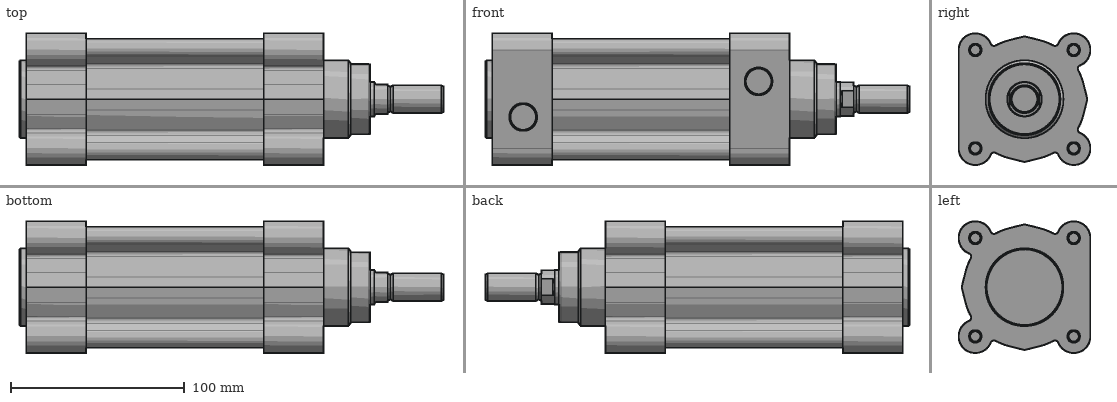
import cadquery as cq
import math


total_length = 244.0
rear_boss_length = 4.0
cap_length = 34.5
barrel_length = 102.2
front_boss_length = 15.5
seal_neck_length = 11.2

rear_cap_start = rear_boss_length
barrel_start = rear_cap_start + cap_length
front_cap_start = barrel_start + barrel_length
front_boss_start = front_cap_start + cap_length
seal_neck_start = front_boss_start + front_boss_length
rod_start = seal_neck_start + seal_neck_length

cap_width = 76.0
half_width = cap_width / 2
screw_offset = 28.3
lobe_radius = half_width - screw_offset
cap_hull_radius = 35.1
cap_ridge_half_width = 8.5
cap_groove_radius = 2.0

column_radius = 5.9
column_offset = 29.0
barrel_hull_radius = 33.7
barrel_ridge_half_width = 6.0
barrel_groove_radius = 2.5

boss_radius = 22.5
rear_boss_chamfer = 0.7
front_boss_chamfer_length = 1.5
front_boss_chamfer_depth = 1.7
seal_neck_radius = 20.3
seal_neck_taper_length = 1.0
seal_neck_taper_depth = 0.2

screw_hole_radius = 3.0
screw_hole_depth = 15.9
screw_hole_chamfer = 0.7

port_radius = 7.3
port_depth = 12.2
port_chamfer = 0.7
port_height = 10.2
port_inset = 17.8

collar_radius = 10.0
collar_length = 2.2
wrench_radius = 9.8
wrench_length = 7.8
wrench_flat_width = 17.0
wrench_bevel_length = 1.2
rod_radius = 8.0
relief_radius = 7.0
relief_length = 3.2
rod_tip_chamfer_length = 1.5
rod_tip_chamfer_depth = 0.7


def rotate_point(point, quarter_turns):
    """Turn a (y, z) point about the cylinder axis, counter-clockwise."""
    y, z = point
    for _ in range(quarter_turns % 4):
        y, z = -z, y
    return y, z


def offset_toward(start, target, distance):
    """Point at a distance from start, in the direction of target."""
    length = math.dist(start, target)
    return tuple(s + (t - s) * distance / length for s, t in zip(start, target))


def from_diagonal(along, across):
    """Point given along the +Y+Z diagonal and across it, toward +Z."""
    return (along - across) / math.sqrt(2), (along + across) / math.sqrt(2)


def ridged_side(groove_center, groove_radius, foot, hull_radius, ridge_half_width):
    """Points of the +Z side from its groove foot on the +Y side up to the ridge.

    A concave groove arc runs into the round hull, and flats tangent to the hull form the ridge.
    """
    hull_start = offset_toward(groove_center, (0, 0), groove_radius)
    chord_middle = tuple((a + b) / 2 for a, b in zip(foot, hull_start))
    groove_middle = offset_toward(groove_center, chord_middle, groove_radius)
    ridge_angle = math.asin(ridge_half_width / hull_radius)
    start_angle = math.atan2(hull_start[0], hull_start[1])
    middle_angle = (ridge_angle + start_angle) / 2
    hull_middle = (hull_radius * math.sin(middle_angle), hull_radius * math.cos(middle_angle))
    hull_end = (ridge_half_width, hull_radius * math.cos(ridge_angle))
    ridge = (0, hull_radius / math.cos(ridge_angle))
    return [foot, groove_middle, hull_start, hull_middle, hull_end, ridge]


def draw_side(outline, side, quarter_turns):
    """Draw a whole side counter-clockwise, from one foot over the ridge to the other foot."""
    mirrored = [(-y, z) for y, z in side]
    turned = [rotate_point(point, quarter_turns) for point in side]
    back = [rotate_point(point, quarter_turns) for point in mirrored]
    _, groove_middle, hull_start, hull_middle, hull_end, ridge = turned
    outline = outline.threePointArc(groove_middle, hull_start).threePointArc(hull_middle, hull_end)
    outline = outline.lineTo(*ridge)
    foot, groove_middle, hull_start, hull_middle, hull_end, _ = back
    outline = outline.lineTo(*hull_end).threePointArc(hull_middle, hull_start)
    return outline.threePointArc(groove_middle, foot)


def revolve_profile(profile):
    """Turned solid from (x, radius) points."""
    return cq.Workplane("XY").polyline(profile).close().revolve(360, (0, 0, 0), (1, 0, 0))


def cap_block(start):
    """Plain cap: three ridged sides and a flat -Y side for the port."""
    lobe_center = (screw_offset, screw_offset)
    lobe_distance = math.hypot(*lobe_center)
    to_axis = cap_hull_radius + cap_groove_radius
    to_lobe = lobe_radius + cap_groove_radius
    along = (to_axis**2 - to_lobe**2 + lobe_distance**2) / (2 * lobe_distance)
    groove_center = from_diagonal(along, math.sqrt(to_axis**2 - along**2))
    foot = offset_toward(groove_center, lobe_center, cap_groove_radius)
    side = ridged_side(groove_center, cap_groove_radius, foot, cap_hull_radius, cap_ridge_half_width)

    tip = from_diagonal(lobe_distance + lobe_radius, 0)

    outline = cq.Workplane("YZ", origin=(start, 0, 0)).moveTo(*rotate_point(foot, 3))
    outline = draw_side(outline, side, 3)
    outline = outline.threePointArc(tip, foot)
    outline = draw_side(outline, side, 0)
    outline = outline.threePointArc(rotate_point(tip, 1), (-half_width, screw_offset))
    outline = outline.lineTo(-half_width, -screw_offset)
    outline = outline.threePointArc(rotate_point(tip, 2), rotate_point(foot, 2))
    outline = draw_side(outline, side, 2)
    outline = outline.threePointArc(rotate_point(tip, 3), rotate_point(foot, 3))
    return outline.close().extrude(cap_length)


def chamfered_hole(origin, direction, radius, depth, chamfer):
    """Cutting tool for a blind hole whose mouth is chamfered."""
    mouth = cq.Plane(origin=origin, normal=direction)
    bore = cq.Workplane(mouth).circle(radius).extrude(depth)
    countersink = cq.Workplane(cq.Solid.makeCone(
        radius + chamfer, radius, chamfer, cq.Vector(*origin), cq.Vector(*direction)))
    return bore.union(countersink)


def drill_cap(cap, outer_face, inward, port_x, port_z):
    """Cut the four screw holes in the outer face and the air port in the -Y face."""
    for y in (-screw_offset, screw_offset):
        for z in (-screw_offset, screw_offset):
            cap = cap.cut(chamfered_hole(
                (outer_face, y, z), (inward, 0, 0), screw_hole_radius, screw_hole_depth, screw_hole_chamfer))
    return cap.cut(chamfered_hole(
        (port_x, -half_width, port_z), (0, 1, 0), port_radius, port_depth, port_chamfer))


def make_rear_cap():
    boss = cq.Workplane("YZ").circle(boss_radius).extrude(rear_boss_length)
    boss = boss.faces("<X").chamfer(rear_boss_chamfer)
    cap = cap_block(rear_cap_start).union(boss)
    return drill_cap(cap, rear_cap_start, 1, rear_cap_start + port_inset, -port_height)


def make_front_cap():
    boss_and_seal_neck = revolve_profile([
        (front_boss_start, 0),
        (front_boss_start, boss_radius),
        (seal_neck_start - front_boss_chamfer_length, boss_radius),
        (seal_neck_start, boss_radius - front_boss_chamfer_depth),
        (seal_neck_start, seal_neck_radius),
        (rod_start - seal_neck_taper_length, seal_neck_radius),
        (rod_start, seal_neck_radius - seal_neck_taper_depth),
        (rod_start, 0),
    ])
    cap = cap_block(front_cap_start).union(boss_and_seal_neck)
    return drill_cap(cap, front_boss_start, -1, front_boss_start - port_inset, port_height)


def make_barrel():
    across = column_radius + barrel_groove_radius
    along = math.sqrt((barrel_hull_radius + barrel_groove_radius) ** 2 - across**2)
    foot = from_diagonal(along, column_radius)
    side = ridged_side(from_diagonal(along, across), barrel_groove_radius, foot,
                       barrel_hull_radius, barrel_ridge_half_width)

    column_distance = column_offset * math.sqrt(2)
    column_start = from_diagonal(column_distance, -column_radius)
    column_tip = from_diagonal(column_distance + column_radius, 0)
    column_end = from_diagonal(column_distance, column_radius)

    outline = cq.Workplane("YZ", origin=(barrel_start, 0, 0)).moveTo(*foot)
    for turn in range(4):
        outline = draw_side(outline, side, turn)
        outline = outline.lineTo(*rotate_point(column_start, turn + 1))
        outline = outline.threePointArc(
            rotate_point(column_tip, turn + 1), rotate_point(column_end, turn + 1))
        if turn < 3:
            outline = outline.lineTo(*rotate_point(foot, turn + 1))
    return outline.close().extrude(barrel_length)


def make_piston_rod():
    wrench_start = rod_start + collar_length
    wrench_end = wrench_start + wrench_length
    relief_middle = wrench_end + relief_length / 2
    relief_end = wrench_end + relief_length
    rod = revolve_profile([
        (rod_start, 0),
        (rod_start, collar_radius),
        (wrench_start, collar_radius),
        (wrench_start, wrench_radius),
        (wrench_end, wrench_radius),
        (wrench_end, rod_radius),
        (relief_middle, relief_radius),
        (relief_end, rod_radius),
        (total_length - rod_tip_chamfer_length, rod_radius),
        (total_length, rod_radius - rod_tip_chamfer_depth),
        (total_length, 0),
    ])

    flat_cut = cq.Workplane("XY").polyline([
        (wrench_start, wrench_radius),
        (wrench_start + wrench_bevel_length, wrench_flat_width / 2),
        (wrench_end, wrench_flat_width / 2),
        (wrench_end, wrench_radius),
    ]).close().extrude(wrench_radius, both=True)
    return rod.cut(flat_cut).cut(flat_cut.mirror("XZ"))


rear_cap = make_rear_cap()
barrel = make_barrel()
front_cap = make_front_cap()
piston_rod = make_piston_rod()

result = cq.Compound.makeCompound([rear_cap.val(), barrel.val(), front_cap.val(), piston_rod.val()])